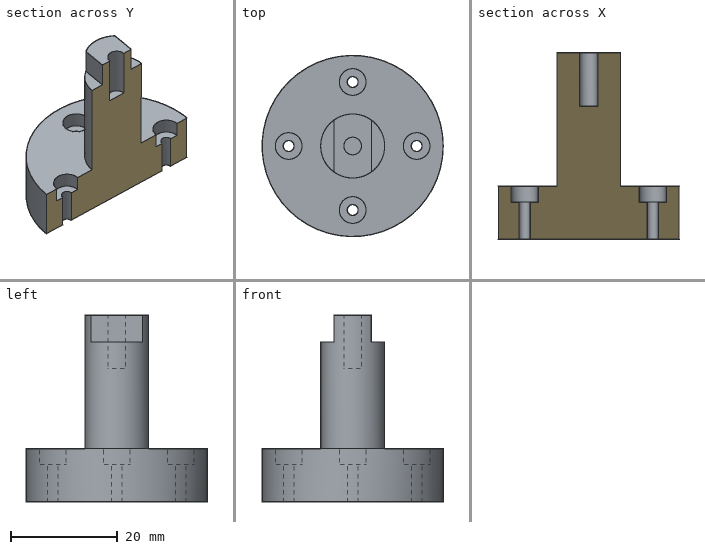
import cadquery as cq

flange_diameter = 34.0
flange_height = 10.0

shaft_diameter = 12.0
overall_height = 35.0
tang_width = 7.0
tang_length = 5.0

tip_hole_diameter = 3.3
tip_hole_depth = 10.0

screw_count = 4
screw_circle_radius = 12.0
screw_hole_diameter = 2.0
counterbore_diameter = 5.0
counterbore_depth = 3.0


def make_body():
    """Round flange standing on Z = 0 with a central shaft."""
    flange = cq.Workplane("XY").circle(flange_diameter / 2).extrude(flange_height)
    shaft = cq.Workplane("XY").circle(shaft_diameter / 2).extrude(overall_height)
    return flange.union(shaft)


def cut_flats(body):
    """Cut the shaft tip to a tang with flats facing -X and +X."""
    tip = cq.Workplane("XY").workplane(offset=overall_height - tang_length)
    waste = tip.rect(shaft_diameter, shaft_diameter).rect(tang_width, shaft_diameter).extrude(tang_length)
    return body.cut(waste)


def cut_tip_hole(body):
    """Drill the flat-bottomed hole down the shaft axis."""
    tip = cq.Workplane("XY").workplane(offset=overall_height)
    return body.cut(tip.circle(tip_hole_diameter / 2).extrude(-tip_hole_depth))


def cut_screw_holes(body):
    """Cut the through holes, counterbored from the top of the flange."""
    flange_top = cq.Workplane("XY").workplane(offset=flange_height)
    screw_places = flange_top.polarArray(screw_circle_radius, 0, 360, screw_count)
    through_holes = screw_places.circle(screw_hole_diameter / 2).extrude(-flange_height)
    counterbores = screw_places.circle(counterbore_diameter / 2).extrude(-counterbore_depth)
    return body.cut(through_holes).cut(counterbores)


result = cut_screw_holes(cut_tip_hole(cut_flats(make_body())))